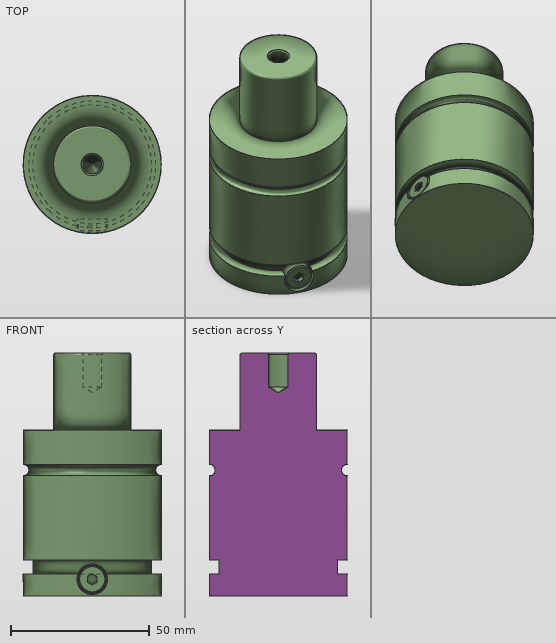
import cadquery as cq
import math

total_height = 88.0
body_diameter = 50.0
body_radius = body_diameter / 2
shoulder_height = 60.0
neck_diameter = 43.0
neck_bottom = 8.0
neck_top = 13.0

groove_radius = 2.0
groove_center_height = 45.6

rod_diameter = 28.0
rod_edge_round = 1.0
rod_hole_diameter = 6.8
rod_hole_mouth_diameter = 8.0
rod_hole_depth = 12.3
drill_tip_angle = 118.0

screw_height = 6.1
screw_diameter = 10.0
screw_chamfer = 0.4
pocket_diameter = 11.0
pocket_floor_distance = 19.8
hex_across_flats = 3.5
hex_depth = 2.0
screw_face_distance = math.sqrt(body_radius**2 - (pocket_diameter / 2) ** 2)


def cylinder(diameter, bottom, top):
    return cq.Workplane("XY").workplane(offset=bottom).circle(diameter / 2).extrude(top - bottom)


def side_plane(distance):
    """Plane facing -Y, centred on the screw axis at a distance from the body axis."""
    return cq.Workplane("XZ", origin=(0, -distance, screw_height))


def make_body():
    base = cylinder(body_diameter, 0, neck_bottom)
    neck = cylinder(neck_diameter, neck_bottom, neck_top)
    barrel = cylinder(body_diameter, neck_top, shoulder_height)
    groove = cq.Workplane("XY").add(
        cq.Solid.makeTorus(body_radius, groove_radius, cq.Vector(0, 0, groove_center_height))
    )
    return base.union(neck).union(barrel).cut(groove)


def make_rod():
    rod = cylinder(rod_diameter, shoulder_height, total_height)
    return rod.faces(">Z").edges().fillet(rod_edge_round)


def make_rod_hole():
    """Drilled hole with a 45 degree countersink and a conical end."""
    hole_radius = rod_hole_diameter / 2
    mouth_radius = rod_hole_mouth_diameter / 2
    countersink_bottom = total_height - (mouth_radius - hole_radius)
    hole_bottom = total_height - rod_hole_depth
    tip = hole_bottom - hole_radius / math.tan(math.radians(drill_tip_angle / 2))
    profile = [
        (0, total_height),
        (mouth_radius, total_height),
        (hole_radius, countersink_bottom),
        (hole_radius, hole_bottom),
        (0, tip),
    ]
    return cq.Workplane("XZ").polyline(profile).close().revolve(360, (0, 0), (0, 1))


def make_screw_pocket():
    depth = body_radius - pocket_floor_distance
    return side_plane(pocket_floor_distance).circle(pocket_diameter / 2).extrude(depth)


def make_screw():
    length = screw_face_distance - pocket_floor_distance
    screw = side_plane(pocket_floor_distance).circle(screw_diameter / 2).extrude(length)
    screw = screw.faces("<Y").edges().chamfer(screw_chamfer)
    hex_corner_diameter = hex_across_flats / math.cos(math.pi / 6)
    socket = (
        side_plane(screw_face_distance - hex_depth)
        .transformed(rotate=(0, 0, 90))
        .polygon(6, hex_corner_diameter)
        .extrude(hex_depth)
    )
    return screw.cut(socket)


result = make_body().union(make_rod()).cut(make_rod_hole())
result = result.cut(make_screw_pocket()).union(make_screw())